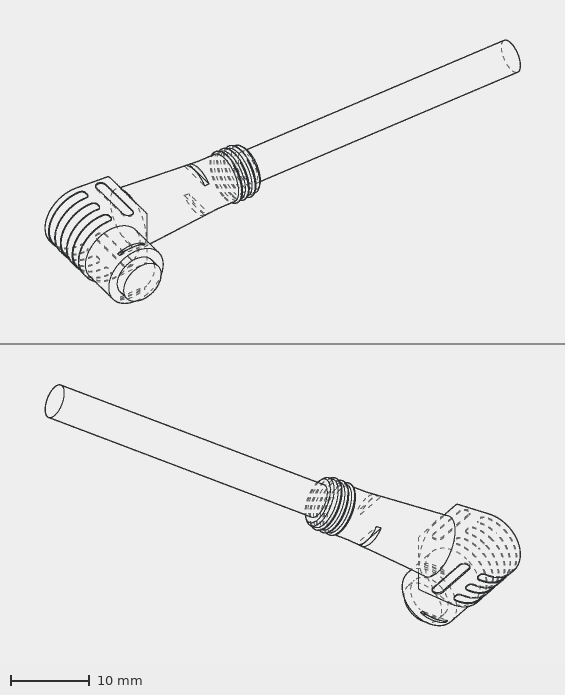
import cadquery as cq
import math


cable_end = 63.5
cable_diameter = 4.4
sleeve_end = 23.5
sleeve_diameter = 6.5
sleeve_chamfer = 0.35
taper_start = 17.5
taper_base_diameter = 8.2

ring_count = 3
ring_pitch = 1.0
first_ring_y = 20.25
ring_section_radius = 0.3
ring_outer_radius = 3.55

notch_start = 15.45
notch_width = 0.7
notch_half_gap = 2.45

head_left = -4.5
head_right = 4.55
head_radius = 4.5
head_back = 5.4
flank_angle = 4.1
head_edge_radius = 0.35

groove_count = 3
groove_pitch = 2.7
groove_width = 1.4
groove_depth = 0.15
groove_end = 0.8
groove_corner_radius = 0.55

recess_y = 3.25
recess_length = 7.55
recess_width = 1.4
recess_floor = 4.1

shell_end = 9.9
shell_diameter = 8.3
nose_end = 11.4
nose_diameter = 5.7

mark_start = 8.65
mark_width = 0.4
mark_floor = 3.7


def both_sides(solid):
    """Return the solid together with its mirror image below the XY plane."""
    return solid.union(solid.mirror("XY"))


def x_cylinder(diameter, start, end):
    return cq.Workplane("YZ", origin=(start, 0, 0)).circle(diameter / 2).extrude(end - start)


def head_block(radius, start, end):
    """Extrude along X a round nose whose tangent flanks run to the flat back."""
    angle = math.radians(flank_angle)
    tangent_y = radius * math.sin(angle)
    tangent_z = radius * math.cos(angle)
    back_z = tangent_z - (head_back - tangent_y) * math.tan(angle)
    return (
        cq.Workplane("YZ", origin=(start, 0, 0))
        .moveTo(head_back, -back_z)
        .lineTo(tangent_y, -tangent_z)
        .threePointArc((-radius, 0), (tangent_y, tangent_z))
        .lineTo(head_back, back_z)
        .close()
        .extrude(end - start)
    )


def grip_groove(x_center):
    """Shallow band around the nose, ending with rounded corners on both flanks."""
    start = x_center - groove_width / 2
    end = x_center + groove_width / 2
    band = head_block(head_radius, start, end).cut(
        head_block(head_radius - groove_depth, start, end)
    )
    reach = 2 * head_radius
    footprint = (
        cq.Workplane("XY")
        .box(groove_width, reach, 2 * reach)
        .translate((x_center, groove_end - reach / 2, 0))
        .edges("|Z and >Y")
        .fillet(groove_corner_radius)
    )
    return band.intersect(footprint)


def head():
    body = head_block(head_radius, head_left, head_right)
    body = body.faces("<X or >X or >Y").edges().fillet(head_edge_radius)
    for index in range(groove_count):
        body = body.cut(grip_groove((index - (groove_count - 1) / 2) * groove_pitch))
    recess = (
        cq.Workplane("XY", origin=(0, recess_y, recess_floor))
        .slot2D(recess_length, recess_width)
        .extrude(head_radius)
    )
    return body.cut(both_sides(recess))


def plug():
    shell = x_cylinder(shell_diameter, 0, shell_end)
    mark = cq.Workplane("XY", origin=(mark_start, 0, mark_floor)).box(
        mark_width, shell_diameter, shell_diameter, centered=(False, True, False)
    )
    return shell.cut(both_sides(mark)).union(x_cylinder(nose_diameter, 0, nose_end))


def cable_and_sleeve():
    sleeve_radius = sleeve_diameter / 2
    cable_radius = cable_diameter / 2
    profile = (
        cq.Workplane("XY")
        .moveTo(0, head_back)
        .lineTo(taper_base_diameter / 2, head_back)
        .lineTo(sleeve_radius, taper_start)
        .lineTo(sleeve_radius, sleeve_end - sleeve_chamfer)
        .lineTo(sleeve_radius - sleeve_chamfer, sleeve_end)
        .lineTo(cable_radius, sleeve_end)
        .lineTo(cable_radius, cable_end)
        .lineTo(0, cable_end)
        .close()
    )
    body = profile.revolve(360, (0, 0, 0), (0, 1, 0))
    for index in range(ring_count):
        ring_y = first_ring_y + index * ring_pitch
        ring = cq.Solid.makeTorus(
            ring_outer_radius - ring_section_radius,
            ring_section_radius,
            cq.Vector(0, ring_y, 0),
            cq.Vector(0, 1, 0),
        )
        body = body.union(cq.Workplane(ring))
    notch = cq.Workplane("XY", origin=(0, notch_start, notch_half_gap)).box(
        sleeve_diameter, notch_width, sleeve_diameter, centered=(True, False, False)
    )
    return body.cut(both_sides(notch))


result = cable_and_sleeve().union(head()).union(plug())